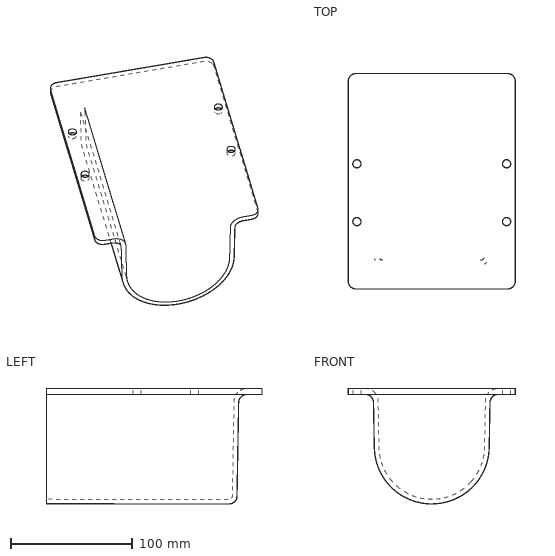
import cadquery as cq
import math

flange_width = 138.0
flange_length = 177.8
flange_thickness = 5.0
corner_radius = 6.5

wall_thickness = 4.0
trough_depth = 95.3
bottom_radius = 47.5
draft = math.radians(1.0)
end_margin = 19.0
outer_fillet = 6.5
inner_corner_fillet = outer_fillet - wall_thickness
rim_fillet = outer_fillet + wall_thickness

hole_diameter = 6.5
hole_edge_distance = 7.3
hole_front_distance = 55.7
hole_pitch = 47.7

open_end_y = flange_length / 2
arc_center_z = bottom_radius - trough_depth
end_wall_y = -flange_length / 2 + end_margin


def trough_solid(inset, end_fillet):
    """Drafted U-shaped solid, offset inward from the outer trough surface."""
    radius = bottom_radius - inset
    tangent_x = radius * math.cos(draft)
    tangent_z = arc_center_z - radius * math.sin(draft)
    top_x = tangent_x - tangent_z * math.tan(draft)
    profile = (
        cq.Workplane("XZ", origin=(0, open_end_y, 0))
        .moveTo(-top_x, 0)
        .lineTo(-tangent_x, tangent_z)
        .threePointArc((0, arc_center_z - radius), (tangent_x, tangent_z))
        .lineTo(top_x, 0)
        .close()
        .extrude(flange_length)
    )

    top_y = end_wall_y + inset / math.cos(draft)
    bottom_y = top_y + trough_depth * math.tan(draft)
    side_outline = (
        cq.Workplane("YZ")
        .polyline([
            (top_y, 0),
            (open_end_y, 0),
            (open_end_y, -trough_depth),
            (bottom_y, -trough_depth),
        ])
        .close()
        .extrude(flange_width / 2, both=True)
    )
    solid = profile.intersect(side_outline)
    return solid.faces("<Y").edges("not(>Z)").fillet(end_fillet)


def junction_edges(body, z):
    """Edges at height z where the trough meets the flange, inside its border."""
    margin = hole_edge_distance + hole_diameter
    selector = cq.selectors.BoxSelector(
        (-flange_width / 2 + margin, -flange_length / 2 + margin, z - 0.2),
        (flange_width / 2 - margin, open_end_y - 0.2, z + 0.2),
    )
    return body.edges(selector)


flange = (
    cq.Workplane("XY")
    .box(flange_width, flange_length, flange_thickness, centered=(True, True, False))
    .translate((0, 0, -flange_thickness))
    .edges("|Z")
    .fillet(corner_radius)
)

body = flange.union(trough_solid(0, outer_fillet))
body = junction_edges(body, -flange_thickness).fillet(outer_fillet)

body = body.cut(trough_solid(wall_thickness, inner_corner_fillet))
body = junction_edges(body, 0).fillet(rim_fillet)

hole_x = flange_width / 2 - hole_edge_distance
first_hole_y = -flange_length / 2 + hole_front_distance
hole_points = [
    (side * hole_x, first_hole_y + row * hole_pitch)
    for side in (-1, 1)
    for row in (0, 1)
]
holes = (
    cq.Workplane("XY")
    .pushPoints(hole_points)
    .circle(hole_diameter / 2)
    .extrude(-flange_thickness)
)
result = body.cut(holes)